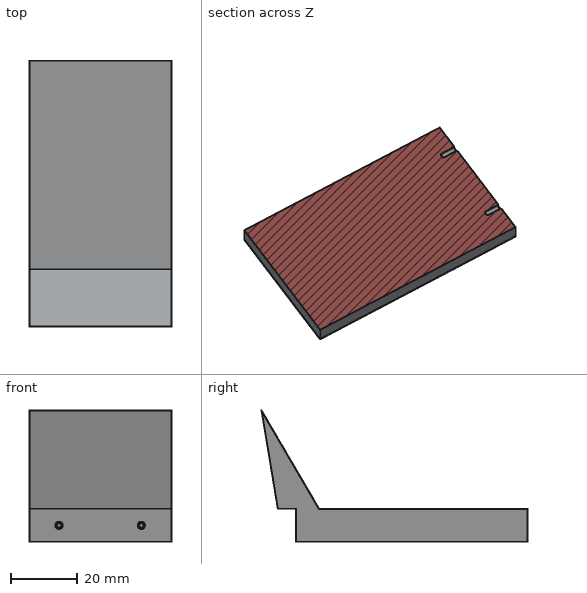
import cadquery as cq

width = 43.0
base_length = 70.0
base_height = 10.0

total_length = 80.43
total_height = 39.77
wedge_setback = 7.0
wedge_overhang = 5.5
tip_overhang = total_length - base_length

left_hole_x = 8.97
hole_spacing = 24.87
hole_height = base_height / 2
hole_diameter = 1.36
hole_depth = 5.0
countersink_diameter = 2.25
countersink_angle = 118.0


def make_body():
    """Plate and wedge, extruded across the width as one side profile."""
    profile = [
        (0, 0),
        (base_length, 0),
        (base_length, base_height),
        (wedge_setback, base_height),
        (-tip_overhang, total_height),
        (-wedge_overhang, base_height),
        (0, base_height),
    ]
    return cq.Workplane("YZ").polyline(profile).close().extrude(width)


def add_front_holes(body):
    """Two countersunk blind holes, level with the middle of the plate."""
    hole_centres = [
        (left_hole_x, hole_height),
        (left_hole_x + hole_spacing, hole_height),
    ]
    return (
        body.copyWorkplane(cq.Workplane("XZ"))
        .pushPoints(hole_centres)
        .cskHole(hole_diameter, countersink_diameter, countersink_angle, depth=hole_depth)
    )


result = add_front_holes(make_body())